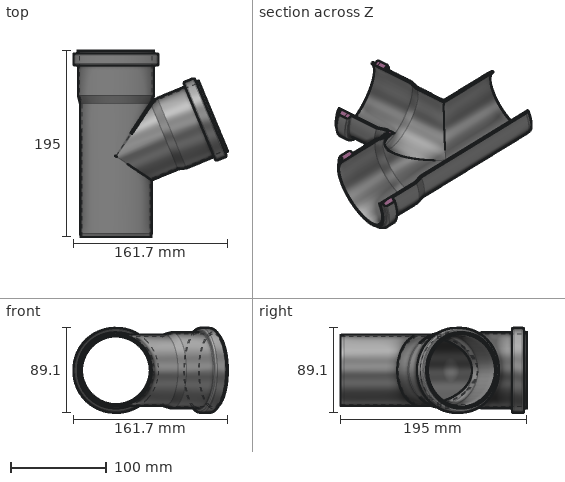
import cadquery as cq
import math

spigot_reach = 84.5
socket_reach = 110.5
branch_reach = 110.2
branch_angle = 67.5

pipe_radius = 75.0 / 2
bore_radius = 71.0 / 2
spigot_end_radius = 74.1 / 2
spigot_chamfer_length = 3.9

socket_radius = 79.8 / 2
lip_radius = 80.1 / 2
socket_bore_radius = 75.9 / 2
rim_radius = 89.1 / 2
rim_edge_round = 2.0

rim_start = 3.0
rim_end = 15.6
rim_root_round = 1.0
taper_start = 46.8
taper_end = 55.4

web_thickness = 1.8
web_length = 70.8


def revolve_about_y(profile):
    return profile.close().revolve(360, (0, 0, 0), (0, 1, 0))


def socket_outside(reach):
    """Solid arm from the origin along +Y, with a tapered socket and a rounded rim."""
    root_radius = socket_radius + rim_root_round
    face_radius = rim_radius - rim_edge_round
    diagonal = math.sqrt(0.5)
    root_mid_offset = rim_root_round * (1 - diagonal)
    root_mid = socket_radius + root_mid_offset
    lip_mid = lip_radius + root_mid_offset
    edge_mid = face_radius + rim_edge_round * diagonal
    edge_mid_offset = rim_edge_round * (1 - diagonal)
    low_face = reach - rim_end
    high_face = reach - rim_start
    return revolve_about_y(
        cq.Workplane("XY")
        .lineTo(pipe_radius, 0)
        .lineTo(pipe_radius, reach - taper_end)
        .lineTo(socket_radius, reach - taper_start)
        .lineTo(socket_radius, low_face - rim_root_round)
        .threePointArc((root_mid, low_face - root_mid_offset), (root_radius, low_face))
        .lineTo(face_radius, low_face)
        .threePointArc((edge_mid, low_face + edge_mid_offset), (rim_radius, low_face + rim_edge_round))
        .lineTo(rim_radius, high_face - rim_edge_round)
        .threePointArc((edge_mid, high_face - edge_mid_offset), (face_radius, high_face))
        .lineTo(lip_radius + rim_root_round, high_face)
        .threePointArc((lip_mid, high_face + root_mid_offset), (lip_radius, high_face + rim_root_round))
        .lineTo(lip_radius, reach)
        .lineTo(0, reach)
    )


def socket_inside(reach):
    """Bore of an arm, widening through the taper into the socket."""
    return revolve_about_y(
        cq.Workplane("XY")
        .lineTo(bore_radius, 0)
        .lineTo(bore_radius, reach - taper_end)
        .lineTo(socket_bore_radius, reach - taper_start)
        .lineTo(socket_bore_radius, reach)
        .lineTo(0, reach)
    )


def spigot_outside():
    """Plain pipe from the origin along -Y, narrowing slightly at its end."""
    return revolve_about_y(
        cq.Workplane("XY")
        .lineTo(pipe_radius, 0)
        .lineTo(pipe_radius, -spigot_reach + spigot_chamfer_length)
        .lineTo(spigot_end_radius, -spigot_reach)
        .lineTo(0, -spigot_reach)
    )


def spigot_inside():
    return cq.Workplane("XZ").circle(bore_radius).extrude(spigot_reach)


def incline(arm):
    return arm.rotate((0, 0, 0), (0, 0, 1), -branch_angle)


def clip_to_branch_side(arm):
    """Remove the part of the inclined arm that lies behind the run axis."""
    size = 2 * branch_reach
    branch_side = cq.Workplane("XY").box(size, 2 * size, size, centered=(False, True, True))
    return arm.intersect(branch_side)


def crotch_web():
    """Half-elliptical plate on the bisecting plane, vanishing where the pipe surfaces meet on top."""
    plate = (
        cq.Workplane("YZ")
        .ellipse(web_length, pipe_radius)
        .extrude(web_thickness / 2, both=True)
    )
    half = cq.Workplane("XY").box(web_length, web_length, 2 * web_length).translate((0, web_length / 2, 0))
    return plate.intersect(half).rotate((0, 0, 0), (0, 0, 1), -branch_angle / 2)


outside = spigot_outside().union(socket_outside(socket_reach))
outside = outside.union(clip_to_branch_side(incline(socket_outside(branch_reach))))
outside = outside.union(crotch_web())

inside = spigot_inside().union(socket_inside(socket_reach))
inside = inside.union(clip_to_branch_side(incline(socket_inside(branch_reach))))

result = outside.cut(inside)